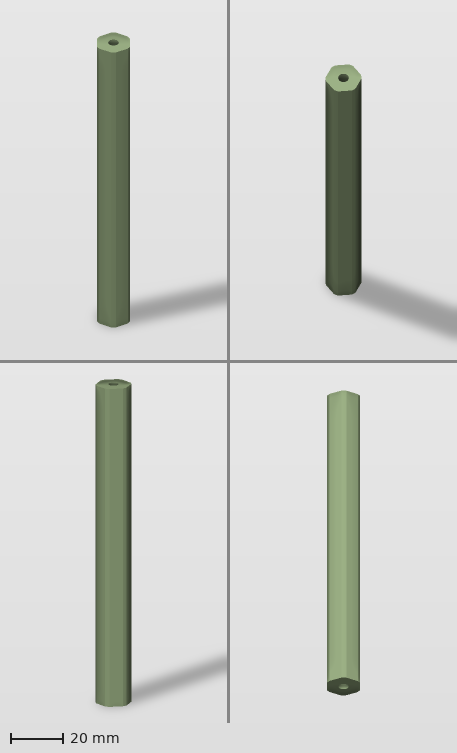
import cadquery as cq
import math

across_flats = 12.69
corner_diameter = 13.74
bore_diameter = 4.04
length = 127.0

hexagon_sides = 6
half_side_angle = 180 / hexagon_sides
across_corners = across_flats / math.cos(math.radians(half_side_angle))


def hexagonal_bar():
    """Hexagonal bar along Z, turned so that two of its flats face +X and -X."""
    return (
        cq.Workplane("XY")
        .polygon(hexagon_sides, across_corners)
        .extrude(length)
        .rotate((0, 0, 0), (0, 0, 1), half_side_angle)
    )


def round_bar(diameter):
    """Round bar along Z, as long as the shaft."""
    return cq.Workplane("XY").circle(diameter / 2).extrude(length)


rounded_hexagon = hexagonal_bar().intersect(round_bar(corner_diameter))
result = rounded_hexagon.cut(round_bar(bore_diameter))